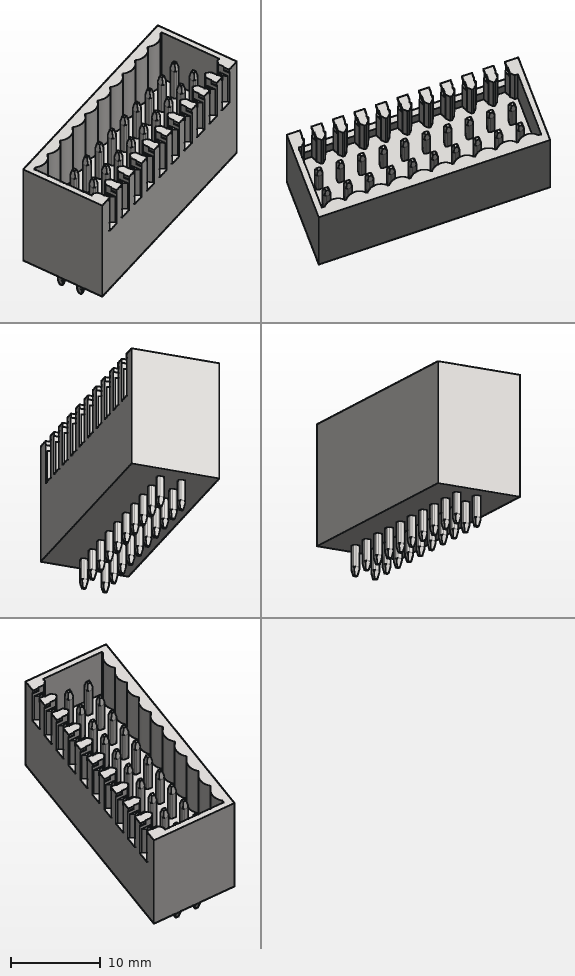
import cadquery as cq

housing_width = 10.5
housing_length = 27.35
overall_height = 17.7
pin_protrusion = 3.5
housing_height = overall_height - pin_protrusion

row_length = 22.87
pins_per_row = 10
pin_pitch = row_length / (pins_per_row - 1)
first_row_x = -1.6
row_positions = [first_row_x, first_row_x + pin_pitch]
pin_positions = [i * pin_pitch - row_length / 2 for i in range(pins_per_row)]

end_wall = 0.7
left_wall = 0.98
right_wall = 1.9
cavity_depth = 7.17
scallop_chord = 2.38
scallop_rise = 0.52

tooth_chamfer = 0.4
slot_width = 1.5
waist_width = 0.88
sill_thickness = 0.75
waist_setback = 0.1
waist_exit = 0.52
waist_drop = 1.18
slot_depth = 5.17
tab_thickness = 0.08
tab_height = 0.5

pin_width = 0.8
pin_corner_radius = 0.2
pin_tip_width = 0.35
pin_taper = 1.0
pin_top_drop = 2.02

half_width = housing_width / 2
half_length = housing_length / 2
floor_z = housing_height - cavity_depth
cavity_left = -half_width + left_wall
cavity_right = half_width - right_wall
cavity_end = half_length - end_wall
wall_inner_x = half_width - sill_thickness


def extruded(outline, z_bottom, z_top):
    """Upright prism over a list of XY points."""
    base = cq.Workplane("XY", origin=(0, 0, z_bottom))
    return base.polyline(outline).close().extrude(z_top - z_bottom)


def slot_block(x_start, x_end, width, z_bottom, z_top):
    """Upright block spanning x_start to x_end, centred on Y = 0."""
    half = width / 2
    outline = [(x_start, -half), (x_end, -half), (x_end, half), (x_start, half)]
    return extruded(outline, z_bottom, z_top)


def make_cavity():
    """Cavity cutter; on its -X side the wall bulges inward beside each pin."""
    outline = cq.Workplane("XY", origin=(0, 0, floor_z)).moveTo(cavity_left, -cavity_end)
    for y in pin_positions:
        outline = outline.lineTo(cavity_left, y - scallop_chord / 2)
        outline = outline.threePointArc(
            (cavity_left + scallop_rise, y), (cavity_left, y + scallop_chord / 2)
        )
    outline = outline.lineTo(cavity_left, cavity_end).lineTo(cavity_right, cavity_end)
    return outline.lineTo(cavity_right, -cavity_end).close().extrude(cavity_depth)


def make_slot():
    """Cutter for one slot, centred on Y = 0."""
    edge = slot_width / 2
    tab_z = housing_height - tab_height
    waist_z = housing_height - waist_drop
    sill_z = housing_height - slot_depth
    tab_gap = slot_width - 2 * tab_thickness

    slot = slot_block(cavity_right, wall_inner_x, slot_width, floor_z, housing_height)
    slot = slot.union(slot_block(wall_inner_x, half_width, slot_width, sill_z, tab_z))
    slot = slot.union(slot_block(wall_inner_x, half_width, tab_gap, tab_z, housing_height))

    shoulder_x = cavity_right + tooth_chamfer
    for side in (1, -1):
        chamfer = [
            (cavity_right, side * edge),
            (cavity_right, side * (edge + tooth_chamfer)),
            (shoulder_x, side * edge),
        ]
        slot = slot.union(extruded(chamfer, floor_z, housing_height))

        wedge = [
            (shoulder_x + waist_setback, side * edge),
            (wall_inner_x, side * waist_width / 2),
            (wall_inner_x + waist_exit, side * edge),
        ]
        slot = slot.cut(extruded(wedge, floor_z, waist_z))
    return slot


def make_pin():
    """Pin on the Z axis: a square bar with rounded corners and tapered tips."""
    bottom_z = -pin_protrusion
    top_z = housing_height - pin_top_drop
    length = top_z - bottom_z
    bar = cq.Workplane("XY", origin=(0, 0, bottom_z)).rect(pin_width, pin_width).extrude(length)
    bar = bar.edges("|Z").fillet(pin_corner_radius)

    half = pin_width / 2
    half_tip = pin_tip_width / 2
    profile = [
        (half_tip, bottom_z),
        (half, bottom_z + pin_taper),
        (half, top_z - pin_taper),
        (half_tip, top_z),
    ]
    profile += [(-x, z) for x, z in reversed(profile)]
    for plane in ("XZ", "YZ"):
        bar = bar.intersect(cq.Workplane(plane).polyline(profile).close().extrude(half, both=True))
    return bar


def copies(part, points):
    """One copy of the part shifted to each XY point."""
    solid = part.val()
    return cq.Workplane("XY").pushPoints(points).eachpoint(solid.moved)


housing = cq.Workplane("XY").box(
    housing_width, housing_length, housing_height, centered=(True, True, False)
)
housing = housing.cut(make_cavity())
housing = housing.cut(copies(make_slot(), [(0, y) for y in pin_positions]))

pin_points = [(x, y) for x in row_positions for y in pin_positions]
result = housing.union(copies(make_pin(), pin_points))